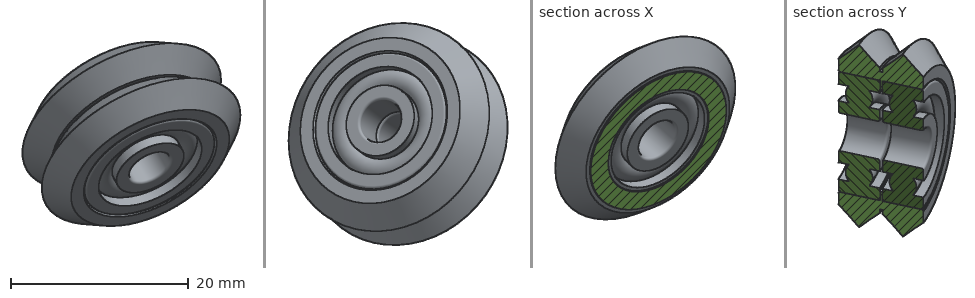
import cadquery as cq
import math

bearing_width = 5.0
bearing_radius = 16.0 / 2
bore_radius = 5.0 / 2
inner_race_radius = 8.3 / 2
outer_race_radius = 12.7 / 2
race_edge_fillet = 0.3
race_wall_depth = 1.25

ball_pitch_radius = (inner_race_radius + outer_race_radius) / 2
ball_tube_radius = math.hypot(outer_race_radius - ball_pitch_radius, bearing_width / 2 - race_wall_depth)
ball_top_depth = bearing_width / 2 - ball_tube_radius

wheel_width = 10.3
wheel_radius = 24.5 / 2
rim_half_width = 2.5
rim_width = 2 * rim_half_width
rim_edge_radius = wheel_radius - rim_half_width
groove_radius = 18.5 / 2
seat_chamfer = 0.2
lip_radius = 13.6 / 2


def revolve_about_x(profile):
    """Turn an X-radius profile, drawn in the XY plane, into a solid about X."""
    return profile.close().revolve(360, (0, 0, 0), (1, 0, 0))


def make_wheel():
    seat_mouth_radius = bearing_radius + seat_chamfer
    far_rim_start = wheel_width - rim_width
    far_seat_floor = wheel_width - bearing_width
    return revolve_about_x(
        cq.Workplane("XY")
        .moveTo(0, seat_mouth_radius)
        .lineTo(0, rim_edge_radius)
        .lineTo(rim_half_width, wheel_radius)
        .lineTo(rim_width, rim_edge_radius)
        .lineTo(rim_width, groove_radius)
        .lineTo(far_rim_start, groove_radius)
        .lineTo(far_rim_start, rim_edge_radius)
        .lineTo(wheel_width - rim_half_width, wheel_radius)
        .lineTo(wheel_width, rim_edge_radius)
        .lineTo(wheel_width, seat_mouth_radius)
        .lineTo(wheel_width - seat_chamfer, bearing_radius)
        .lineTo(far_seat_floor, bearing_radius)
        .lineTo(far_seat_floor, lip_radius)
        .lineTo(bearing_width, lip_radius)
        .lineTo(bearing_width, bearing_radius)
        .lineTo(seat_chamfer, bearing_radius)
    )


def make_bearing(start_x):
    blank = revolve_about_x(
        cq.Workplane("XY")
        .moveTo(0, bore_radius)
        .lineTo(0, bearing_radius)
        .lineTo(bearing_width, bearing_radius)
        .lineTo(bearing_width, bore_radius)
    )
    blank = blank.edges("%CIRCLE").fillet(race_edge_fillet)

    recess = revolve_about_x(
        cq.Workplane("XY")
        .moveTo(0, inner_race_radius)
        .lineTo(race_wall_depth, inner_race_radius)
        .threePointArc((ball_top_depth, ball_pitch_radius), (race_wall_depth, outer_race_radius))
        .lineTo(0, outer_race_radius)
    )
    far_recess = recess.mirror("YZ", (bearing_width / 2, 0, 0))
    return blank.cut(recess).cut(far_recess).translate((start_x, 0, 0))


wheel = make_wheel()
bearings = [make_bearing(start_x) for start_x in (0, wheel_width - bearing_width)]

result = cq.Compound.makeCompound([wheel.val(), *[bearing.val() for bearing in bearings]])